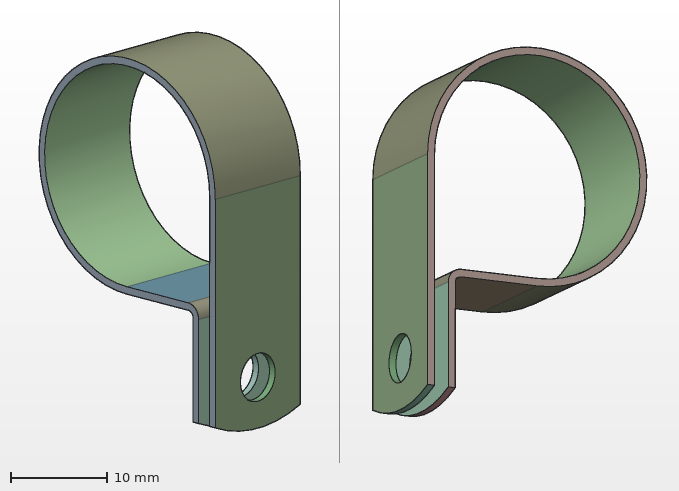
import cadquery as cq
import math

thickness = 0.813
inner_radius = 11.906
strap_width = 12.7
leg_gap = 1.588
bend_inner_radius = 0.7
leg_drop = 25.955
hole_diameter = 5.16
hole_drop = 20.45
tip_radius = 15.875

outer_radius = inner_radius + thickness
bend_outer_radius = bend_inner_radius + thickness
short_leg_outer_x = inner_radius - leg_gap
short_leg_inner_x = short_leg_outer_x - thickness
bend_x = short_leg_outer_x - bend_outer_radius
bend_z = -inner_radius - bend_outer_radius
diagonal = math.sqrt(0.5)
half_width = strap_width / 2
tip_corner_drop = leg_drop - tip_radius + math.sqrt(tip_radius**2 - half_width**2)


def strap():
    """P-shaped strip: long leg, three-quarter loop, flat floor and short leg."""
    return (
        cq.Workplane("XZ")
        .moveTo(outer_radius, -leg_drop)
        .lineTo(outer_radius, 0)
        .threePointArc((-outer_radius * diagonal, outer_radius * diagonal), (0, -outer_radius))
        .lineTo(bend_x, -outer_radius)
        .threePointArc(
            (bend_x + bend_inner_radius * diagonal, bend_z + bend_inner_radius * diagonal),
            (short_leg_inner_x, bend_z),
        )
        .lineTo(short_leg_inner_x, -leg_drop)
        .lineTo(short_leg_outer_x, -leg_drop)
        .lineTo(short_leg_outer_x, bend_z)
        .threePointArc(
            (bend_x + bend_outer_radius * diagonal, bend_z + bend_outer_radius * diagonal),
            (bend_x, -inner_radius),
        )
        .lineTo(0, -inner_radius)
        .threePointArc((-inner_radius * diagonal, inner_radius * diagonal), (inner_radius, 0))
        .lineTo(inner_radius, -leg_drop)
        .close()
        .extrude(half_width, both=True)
    )


def side_envelope():
    """Side outline of the strap: straight edges with a rounded lower end."""
    return (
        cq.Workplane("YZ")
        .moveTo(-half_width, outer_radius)
        .lineTo(-half_width, -tip_corner_drop)
        .threePointArc((0, -leg_drop), (half_width, -tip_corner_drop))
        .lineTo(half_width, outer_radius)
        .close()
        .extrude(outer_radius, both=True)
    )


def screw_hole():
    """Cylinder along X that pierces both legs."""
    return (
        cq.Workplane("YZ")
        .center(0, -hole_drop)
        .circle(hole_diameter / 2)
        .extrude(outer_radius)
    )


result = strap().intersect(side_envelope()).cut(screw_hole())